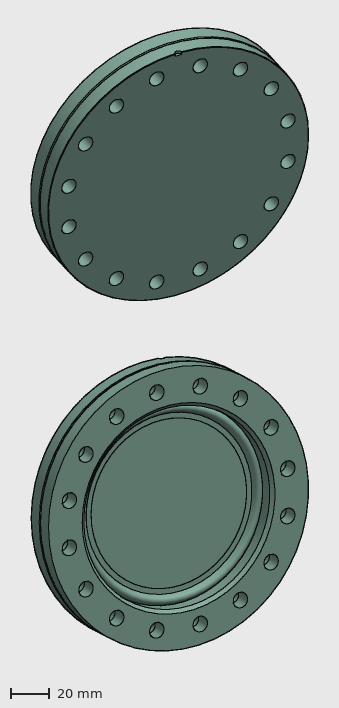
import cadquery as cq

outer_radius = 76.2
pair_thickness = 19.5
front_x = -pair_thickness / 2
back_x = pair_thickness / 2
joint_x = 0.0
rim_chamfer = 0.6
back_chamfer = 0.3

bolt_count = 16
bolt_diameter = 8.4
bolt_circle_radius = 65.2

bore_radius = 109.0 / 2
bore_chamfer = 2.0

floor_x = 0.9
floor_radius = 97.2 / 2
center_radius = 91.1 / 2
center_recess = 0.2
ridge_radius = 51.7
ridge_half_width = 1.8
ridge_shoulder_x = -1.7
ridge_crest_x = -2.7
ridge_foot_x = 0.2

notch_radius = 1.8
notch_depth = 1.5


def revolve_profile(profile):
    """Revolve a profile drawn with x along the axis and y as the radius."""
    return profile.close().revolve(360, (0, 0, 0), (1, 0, 0))


def drill_bolt_holes(flange):
    """Drill the bolt circle, with the Y and Z axes midway between holes."""
    half_pitch = 180 / bolt_count
    drills = (
        cq.Workplane("YZ", origin=(front_x, 0, 0))
        .polarArray(bolt_circle_radius, half_pitch, 360, bolt_count)
        .circle(bolt_diameter / 2)
        .extrude(pair_thickness)
    )
    return flange.cut(drills)


def make_ring_flange():
    """Open flange with a chamfered bore."""
    ring = revolve_profile(
        cq.Workplane("XY")
        .moveTo(front_x, bore_radius + bore_chamfer)
        .lineTo(front_x, outer_radius)
        .lineTo(joint_x - rim_chamfer, outer_radius)
        .lineTo(joint_x, outer_radius - rim_chamfer)
        .lineTo(joint_x, bore_radius)
        .lineTo(front_x + bore_chamfer, bore_radius)
    )
    return drill_bolt_holes(ring)


def make_notch_cutter():
    """Upright round cutter centred on the back face at the top of the rim."""
    return (
        cq.Workplane("XY", origin=(back_x, 0, outer_radius - notch_depth))
        .circle(notch_radius)
        .extrude(2 * notch_depth)
    )


def make_blind_flange():
    """Closed flange with a sealing ridge that stands inside the ring's bore."""
    blind = revolve_profile(
        cq.Workplane("XY")
        .moveTo(back_x, 0)
        .lineTo(back_x, outer_radius - back_chamfer)
        .lineTo(back_x - back_chamfer, outer_radius)
        .lineTo(joint_x + rim_chamfer, outer_radius)
        .lineTo(joint_x, outer_radius - rim_chamfer)
        .lineTo(joint_x, bore_radius)
        .lineTo(ridge_foot_x, bore_radius)
        .lineTo(ridge_shoulder_x, ridge_radius + ridge_half_width)
        .threePointArc(
            (ridge_crest_x, ridge_radius),
            (ridge_shoulder_x, ridge_radius - ridge_half_width),
        )
        .lineTo(floor_x, floor_radius)
        .lineTo(floor_x, center_radius)
        .lineTo(floor_x + center_recess, center_radius)
        .lineTo(floor_x + center_recess, 0)
    )
    return drill_bolt_holes(blind).cut(make_notch_cutter())


ring_flange = make_ring_flange()
blind_flange = make_blind_flange()

result = cq.Compound.makeCompound([ring_flange.val(), blind_flange.val()])